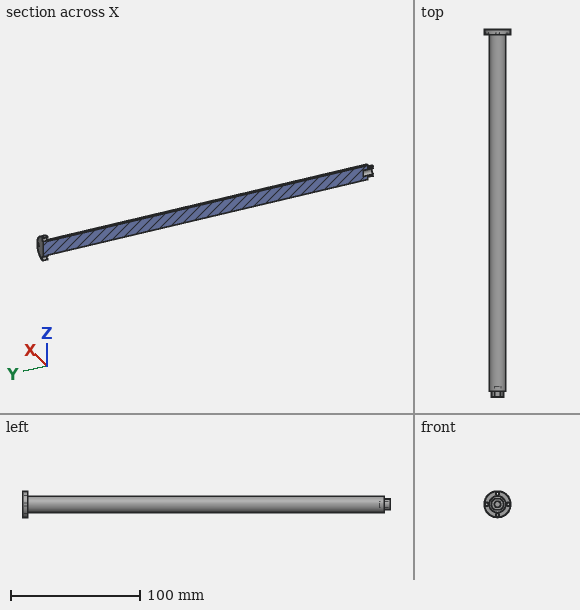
import cadquery as cq

total_length = 284.5

flange_diameter = 20.5
flange_thickness = 4.0
shaft_diameter = 12.8
tip_diameter = 9.5
tip_length = 4.5
tip_across_flats = 8.5
bore_diameter = 4.8
bore_depth = 8.5

bolt_hole_count = 4
bolt_hole_diameter = 2.5
bolt_circle_diameter = 16.5

front_y = -total_length / 2
shaft_start_y = front_y + tip_length
back_y = total_length / 2
flange_start_y = back_y - flange_thickness


def section_plane(y):
    """XZ plane at the given Y, with its normal pointing toward +Y."""
    return cq.Workplane(cq.Plane(origin=(0, y, 0), xDir=(1, 0, 0), normal=(0, 1, 0)))


def cylinder(diameter, start_y, end_y):
    return section_plane(start_y).circle(diameter / 2).extrude(end_y - start_y)


def flatted_tip():
    """Round tip with parallel flats on its upper and lower sides."""
    round_tip = cylinder(tip_diameter, front_y, shaft_start_y)
    flats = section_plane(front_y).rect(tip_diameter, tip_across_flats).extrude(tip_length)
    return round_tip.intersect(flats)


def drilled_flange():
    """End flange with through holes on the X and Z axes."""
    holes = (
        section_plane(flange_start_y)
        .polarArray(bolt_circle_diameter / 2, 0, 360, bolt_hole_count)
        .circle(bolt_hole_diameter / 2)
        .extrude(flange_thickness)
    )
    return cylinder(flange_diameter, flange_start_y, back_y).cut(holes)


shaft = cylinder(shaft_diameter, shaft_start_y, flange_start_y)
bore = cylinder(bore_diameter, front_y, front_y + bore_depth)

result = shaft.union(flatted_tip()).union(drilled_flange()).cut(bore)